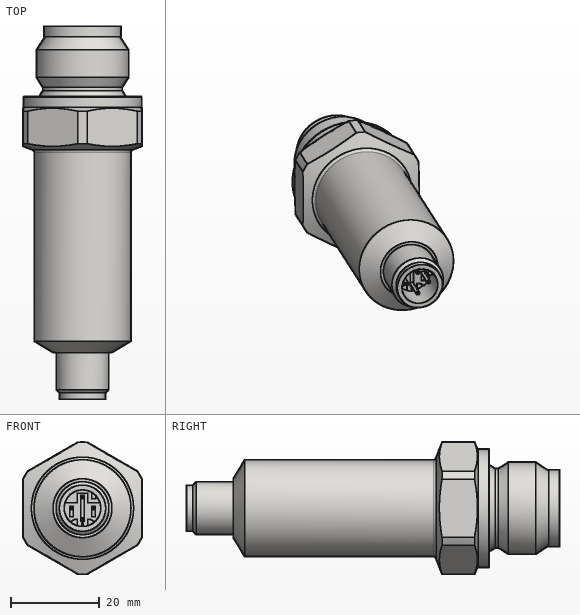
import cadquery as cq
import math

length = 84.6

tip_diameter = 10.5
tip_length = 1.4
neck_diameter = 12.0
neck_edge_y = 2.2
neck_root_y = 10.6

nose_diameter = 13.4
nose_end_y = 13.2
body_diameter = 22.0
body_end_y = 56.0

hex_flats = 27.0
hex_corner_diameter = 30.0
hex_front_y = 56.6
hex_front_diameter = 23.2
hex_front_bevel = 1.35
hex_back_y = 66.15
hex_back_bevel = 0.85
hex_back_diameter = 26.2
flange_diameter = 26.9
flange_end_y = 68.7
flange_edge = 0.2

relief_diameter = 18.1
relief_start_y = 70.0
relief_end_y = 70.7
relief_root_diameter = 19.6
thread_diameter = 21.0
thread_start_y = 73.0
thread_end_y = 79.2
pilot_diameter = 17.5
pilot_root_y = 82.15
thread_taper_diameter = 17.1

socket_diameter = 8.3
socket_depth = 7.6
step_depth = 0.4
step_z = 1.2
tongue_half_width = 1.14
tongue_top_z = 3.4
lobe_radius = 2.0
lobe_center_z = -4.5
slot_length = 2.3
floor_hole_diameter = 0.4
floor_hole_z = -3.55

pin_diameter = 0.8
pin_tip_diameter = 0.4
pin_circle_radius = 2.5
pin_tip_y = 1.9
pin_angles = (0, 90, 180, 270)
key_corner = 2.1
key_width = 0.9
key_front_y = 0.85


def prism(sketch, front_y, back_y):
    """Extrude an XZ outline along +Y from front_y to back_y."""
    return sketch.extrude(-(back_y - front_y)).translate((0, front_y, 0))


def revolve_profile(points):
    """Turn (diameter, y) points about the Y axis, closing the outline on the axis."""
    outline = [(0, points[0][1])]
    outline += [(diameter / 2, y) for diameter, y in points]
    outline += [(0, points[-1][1])]
    return cq.Workplane("XY").polyline(outline).close().revolve(360, (0, 0, 0), (0, 1, 0))


def socket_disc(front_y, back_y):
    """Solid plug with the socket's diameter."""
    return prism(cq.Workplane("XZ").circle(socket_diameter / 2), front_y, back_y)


def block(x_min, x_max, z_min, z_max, front_y, back_y):
    """Axis-aligned block given by its limits."""
    size = (x_max - x_min, back_y - front_y, z_max - z_min)
    corner = (x_min, front_y, z_min)
    return cq.Workplane("XY").box(*size, centered=False).translate(corner)


def make_housing():
    """Connector neck, nose cone and cylindrical body."""
    return revolve_profile([
        (tip_diameter, 0),
        (tip_diameter, tip_length),
        (neck_diameter, neck_edge_y),
        (neck_diameter, neck_root_y),
        (nose_diameter, neck_root_y),
        (body_diameter, nose_end_y),
        (body_diameter, hex_back_y),
    ])


def make_body_fillet():
    """Concave fillet where the body meets the front face of the hexagon."""
    radius = hex_front_y - body_end_y
    inner = body_diameter / 2
    outer = inner + radius
    diagonal = radius * math.sqrt(0.5)
    return (
        cq.Workplane("XY")
        .moveTo(0, body_end_y)
        .lineTo(inner, body_end_y)
        .threePointArc((outer - diagonal, body_end_y + diagonal), (outer, hex_front_y))
        .lineTo(0, hex_front_y)
        .close()
        .revolve(360, (0, 0, 0), (0, 1, 0))
    )


def make_hexagon():
    """Hexagon with two flats facing +X and -X, its corners turned round and bevelled."""
    circumscribed = hex_flats / math.cos(math.pi / 6)
    sketch = cq.Workplane("XZ").transformed(rotate=(0, 0, 30)).polygon(6, circumscribed)
    turned = revolve_profile([
        (hex_front_diameter, hex_front_y),
        (hex_corner_diameter, hex_front_y + hex_front_bevel),
        (hex_corner_diameter, hex_back_y - hex_back_bevel),
        (hex_back_diameter, hex_back_y),
    ])
    return prism(sketch, hex_front_y, hex_back_y).intersect(turned)


def make_port_end():
    """Flange, undercut, thread envelope and pilot."""
    return revolve_profile([
        (flange_diameter, hex_back_y),
        (flange_diameter, flange_end_y - flange_edge),
        (flange_diameter - 2 * flange_edge, flange_end_y),
        (relief_root_diameter, flange_end_y),
        (relief_diameter, relief_start_y),
        (relief_diameter, relief_end_y),
        (thread_diameter, thread_start_y),
        (thread_diameter, thread_end_y),
        (thread_taper_diameter, pilot_root_y),
        (pilot_diameter, pilot_root_y),
        (pilot_diameter, length),
    ])


def make_socket():
    """Socket bore, with the stepped and slotted floor of the contact carrier."""
    floor_y = socket_depth
    deep_y = socket_depth + step_depth
    reach = socket_diameter / 2

    upper = block(-reach, reach, step_z, reach, floor_y, deep_y)
    tongue = block(-tongue_half_width, tongue_half_width, step_z, tongue_top_z, floor_y, deep_y)
    recesses = upper.cut(tongue)

    for side in (-1, 1):
        inner = side * tongue_half_width
        lobe_sketch = cq.Workplane("XZ").center(inner, lobe_center_z).circle(lobe_radius)
        lobe = prism(lobe_sketch, floor_y, deep_y)
        outer = side * reach
        half = block(min(inner, outer), max(inner, outer), -reach, 0, floor_y, deep_y)
        recesses = recesses.union(lobe.intersect(half))

    half_slot = pin_diameter / 2
    for x in (-pin_circle_radius, pin_circle_radius):
        slot = block(x - half_slot, x + half_slot, half_slot - slot_length, half_slot, floor_y, deep_y)
        recesses = recesses.union(slot)
    slot_end = pin_circle_radius + half_slot
    recesses = recesses.union(block(-half_slot, half_slot, -slot_end, slot_end, floor_y, deep_y))

    hole_sketch = cq.Workplane("XZ").center(0, floor_hole_z).circle(floor_hole_diameter / 2)
    recesses = recesses.union(prism(hole_sketch, floor_y, deep_y))

    return socket_disc(0, floor_y).union(recesses.intersect(socket_disc(floor_y, deep_y)))


def make_pin():
    """Contact pin on the Y axis with a 45 degree pointed tip, rooted below the socket floor."""
    tip_bevel = (pin_diameter - pin_tip_diameter) / 2
    return revolve_profile([
        (pin_tip_diameter, pin_tip_y),
        (pin_diameter, pin_tip_y + tip_bevel),
        (pin_diameter, socket_depth + 2 * step_depth),
    ])


def make_key():
    """Coding rib along the socket wall, in the +X +Z quarter."""
    wall_middle = (socket_diameter + tip_diameter) / 4
    key_end_y = socket_depth + step_depth
    rib = block(key_corner, key_corner + key_width, key_corner, wall_middle, key_front_y, key_end_y)
    bound = prism(cq.Workplane("XZ").circle(wall_middle), key_front_y, key_end_y)
    return rib.intersect(bound)


result = make_housing().union(make_body_fillet()).union(make_hexagon()).union(make_port_end())
result = result.cut(make_socket())
for angle in pin_angles:
    pin_x = pin_circle_radius * math.cos(math.radians(angle))
    pin_z = pin_circle_radius * math.sin(math.radians(angle))
    result = result.union(make_pin().translate((pin_x, 0, pin_z)))
result = result.union(make_key())